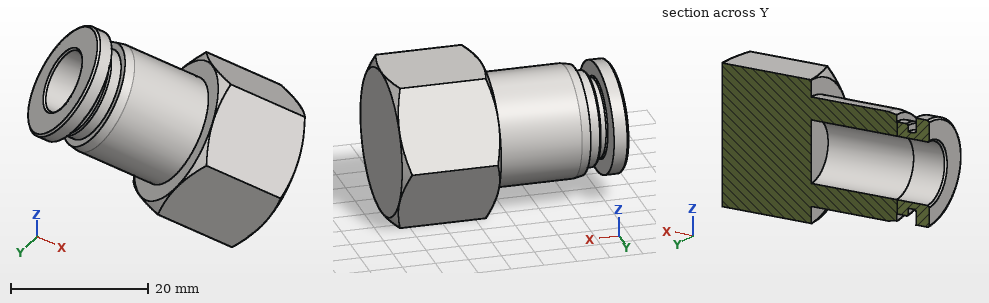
import cadquery as cq
import math


flange_width = 18.95
flange_height = 16.58
flange_thickness = 2.3
flange_chamfer = 0.3
neck_diameter = 11.9
neck_root_chamfer = 0.2
bore_diameter = 9.75
bore_chamfer = 0.28
collar_start = 3.55
collar_diameter = 14.3
collar_chamfer = 0.25
sleeve_length = 5.48

overall_length = 34.9
barrel_diameter = 17.0
barrel_taper_length = 1.43
barrel_taper_depth = 0.28
hex_start = 19.85
hex_across_flats = 22.23
hex_face_diameter = 22.13
hex_chamfer_angle = 30.0
bore_end = hex_start

hex_across_corners = hex_across_flats / math.cos(math.radians(30))
hex_length = overall_length - hex_start
hex_chamfer_depth = (hex_across_corners - hex_face_diameter) / 2
hex_chamfer_length = hex_chamfer_depth * math.tan(math.radians(hex_chamfer_angle))


def section(x):
    """Workplane across the axis at x, with local x along Y and local y along Z."""
    return cq.Workplane("YZ", origin=(x, 0, 0))


def cylinder(start, end, diameter):
    return section(start).circle(diameter / 2).extrude(end - start)


def make_flange():
    """Oval finger flange with a chamfered outer rim."""
    flange = section(0).ellipse(flange_width / 2, flange_height / 2).extrude(flange_thickness)
    return flange.faces("<X").edges().chamfer(flange_chamfer)


def make_neck():
    """Stem behind the flange, flared where it leaves the flange."""
    neck = cylinder(flange_thickness, collar_start, neck_diameter)
    flare_start = section(flange_thickness).circle(neck_diameter / 2 + neck_root_chamfer)
    flare = flare_start.workplane(offset=neck_root_chamfer).circle(neck_diameter / 2).loft(ruled=True)
    return neck.union(flare)


def make_collar():
    """Shoulder at the inner end of the sleeve."""
    collar = cylinder(collar_start, sleeve_length, collar_diameter)
    return collar.faces("<X").edges().chamfer(collar_chamfer)


def make_sleeve():
    sleeve = make_flange().union(make_neck()).union(make_collar())
    sleeve = sleeve.cut(cylinder(0, sleeve_length, bore_diameter))
    bore_rim = sleeve.faces("<X").edges(cq.selectors.RadiusNthSelector(0))
    return bore_rim.chamfer(bore_chamfer)


def make_hex():
    """Hexagon with corners on the Y axis, chamfered at both ends."""
    hexagon = section(hex_start).polygon(6, hex_across_corners).extrude(hex_length)
    envelope = cylinder(hex_start, overall_length, hex_across_corners)
    envelope = envelope.faces("<X or >X").edges().chamfer(hex_chamfer_length, hex_chamfer_depth)
    return hexagon.intersect(envelope)


def make_housing():
    """Tapered barrel and hexagon with a blind bore that continues the sleeve bore."""
    barrel = cylinder(sleeve_length, hex_start, barrel_diameter)
    barrel = barrel.faces("<X").edges().chamfer(barrel_taper_length, barrel_taper_depth)
    bore = cylinder(sleeve_length, bore_end, bore_diameter)
    return barrel.union(make_hex()).cut(bore)


sleeve = make_sleeve()
housing = make_housing()

result = cq.Compound.makeCompound([sleeve.val(), housing.val()])